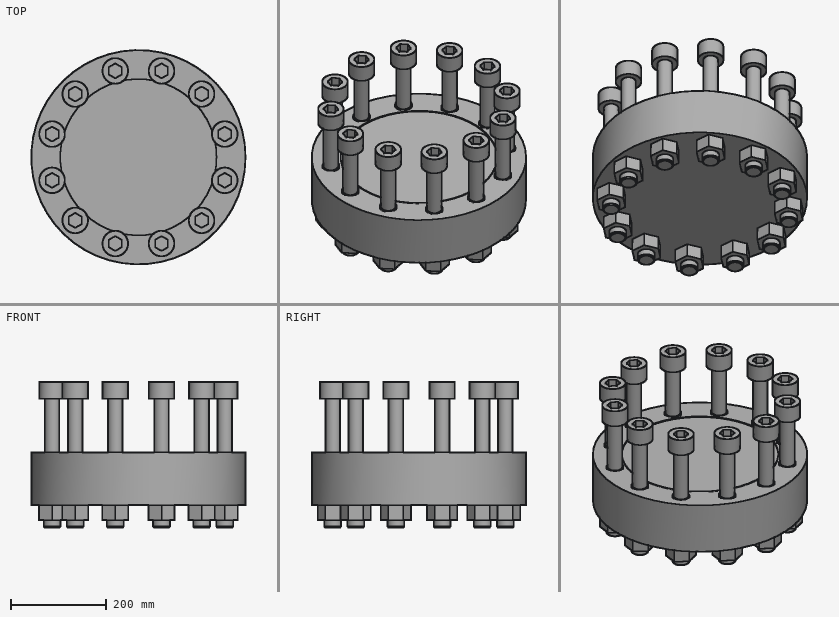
import cadquery as cq
import math

flange_diameter = 450
flange_height = 111
recess_diameter = 328
recess_depth = 2

bolt_count = 12
bolt_pitch_angle = 360 / bolt_count
bolt_circle_diameter = 375
shank_diameter = 31.09
thread_diameter = 36
thread_chamfer = (thread_diameter - shank_diameter) / 2
thread_projection = 16
head_diameter = 54
head_height = 36
head_chamfer = 0.36
socket_across_flats = 27
socket_depth = 19

nut_across_flats = 55
nut_height = 31

overall_height = 306
tip_z = -(nut_height + thread_projection)
head_top_z = tip_z + overall_height
head_bottom_z = head_top_z - head_height
hole_floor_z = flange_height - thread_chamfer


def cylinder(diameter, bottom_z, top_z):
    return cq.Workplane("XY").workplane(offset=bottom_z).circle(diameter / 2).extrude(top_z - bottom_z)


def hexagon_prism(across_flats, bottom_z, top_z):
    """Hexagonal prism with two flats facing +X and -X."""
    half_side_angle = 180 / 6
    across_corners = across_flats / math.cos(math.radians(half_side_angle))
    prism = cq.Workplane("XY").workplane(offset=bottom_z).polygon(6, across_corners).extrude(top_z - bottom_z)
    return prism.rotate((0, 0, 0), (0, 0, 1), half_side_angle)


def bolt_centers():
    """Bolt axes, placed evenly on both sides of the X and Y axes."""
    radius = bolt_circle_diameter / 2
    angles = [math.radians((i + 0.5) * bolt_pitch_angle) for i in range(bolt_count)]
    return [(radius * math.cos(angle), radius * math.sin(angle)) for angle in angles]


def make_flange():
    """Disc with a shallow round recess and the mouths of the bolt holes in its top."""
    flange = cylinder(flange_diameter, 0, flange_height)
    flange = flange.cut(cylinder(recess_diameter, flange_height - recess_depth, flange_height))
    hole_mouth = cylinder(thread_diameter, hole_floor_z, flange_height)
    for x, y in bolt_centers():
        flange = flange.cut(hole_mouth.translate((x, y, 0)))
    return flange


def make_bolt():
    """Socket-head bolt whose thicker threaded part fills the hole and is chamfered at both ends."""
    thread = cylinder(thread_diameter, tip_z, flange_height).faces("<Z or >Z").chamfer(thread_chamfer)
    shank = cylinder(shank_diameter, hole_floor_z, head_bottom_z)
    head = cylinder(head_diameter, head_bottom_z, head_top_z).faces(">Z").chamfer(head_chamfer)
    socket = hexagon_prism(socket_across_flats, head_top_z - socket_depth, head_top_z)
    return thread.union(shank).union(head).cut(socket)


nut = hexagon_prism(nut_across_flats, -nut_height, 0)
bolt_with_nut = make_bolt().union(nut)

result = make_flange()
for x, y in bolt_centers():
    result = result.union(bolt_with_nut.translate((x, y, 0)))